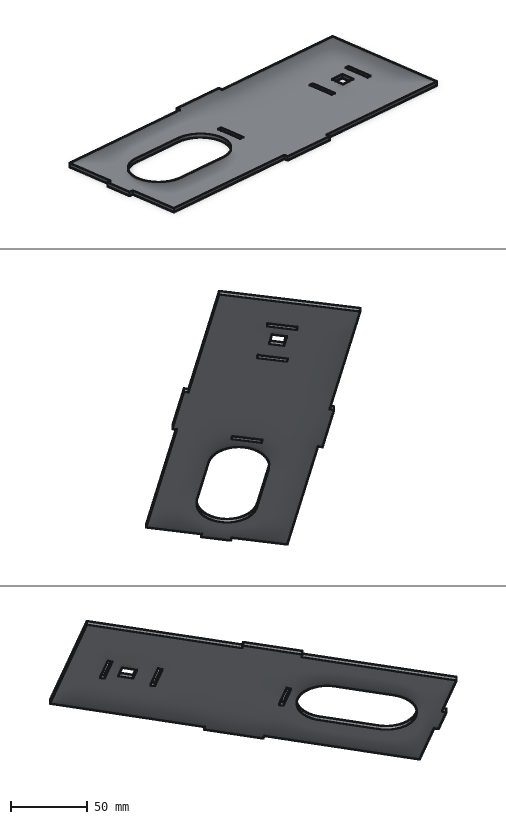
import cadquery as cq

thickness = 3.0
body_width = 94.0
body_length = 250.0

tab_reach = thickness
side_tab_length = 40.0
end_tab_width = 20.0

slot_width = end_tab_width
slot_height = thickness

back_edge = body_length / 2
slot_setbacks = (24.0, 58.0, 145.0)
window_size = 10.0
window_setback = 35.0

opening_width = 40.0
opening_length = 80.0
opening_setback = 155.0


def plate_block(width, length, center_y):
    """Full-thickness rectangular block centred on X."""
    return cq.Workplane("XY").center(0, center_y).rect(width, length).extrude(thickness)


def block_behind_setback(width, length, setback):
    """Block whose back edge lies the given distance from the back of the plate."""
    return plate_block(width, length, back_edge - setback - length / 2)


def make_outline():
    """Plate body with a tab on each long side and one on the front edge."""
    body = plate_block(body_width, body_length, 0)
    side_tabs = plate_block(body_width + 2 * tab_reach, side_tab_length, 0)
    end_tab = block_behind_setback(end_tab_width, 2 * tab_reach, body_length - tab_reach)
    return body.union(side_tabs).union(end_tab)


def make_opening():
    """Cutter with semicircular ends, long along Y."""
    center_y = back_edge - opening_setback - opening_length / 2
    return (
        cq.Workplane("XY")
        .center(0, center_y)
        .slot2D(opening_length, opening_width, 90)
        .extrude(thickness)
    )


result = make_outline()
for slot_setback in slot_setbacks:
    result = result.cut(block_behind_setback(slot_width, slot_height, slot_setback))
result = result.cut(block_behind_setback(window_size, window_size, window_setback))
result = result.cut(make_opening())